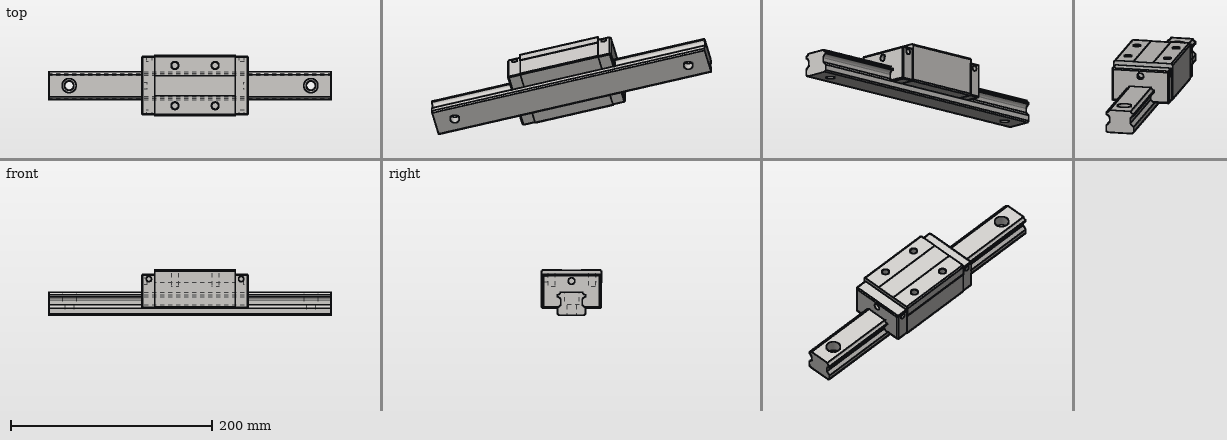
import cadquery as cq
RAIL_LENGTH = 280.0
RAIL_WIDTH = 28.0
RAIL_HEIGHT = 23.0
RAIL_HOLE_PITCH = 240.0
RAIL_BOLT_DIAMETER = 9.0
RAIL_HEAD_DIAMETER = 14.0
RAIL_HEAD_DEPTH = 12.0

RAIL_BOTTOM_CHAMFER = 1.5
RAIL_FOOT_TOP = 7.0
RAIL_WAIST_BOTTOM = 10.5
RAIL_WAIST_TOP = 14.9
RAIL_HEAD_BOTTOM = 18.5
RAIL_HEAD_SHOULDER = 20.3
RAIL_WAIST_HALF = 10.5
RAIL_TOP_HALF = 11.0
GROOVE_SAG = 0.7

TOTAL_HEIGHT = 45.0
CARRIAGE_X = 5.0
BLOCK_LENGTH = 80.0
BLOCK_WIDTH = 60.0
BLOCK_BOTTOM = 7.0
BLOCK_CHAMFER = 1.5
SIDE_RELIEF = 0.5
SIDE_RELIEF_TOP = 33.0
CAP_LENGTH = 13.0
CAP_WIDTH = 58.0
CAP_TOP = 40.5
CAP_BOTTOM = 7.2
CAP_CHAMFER = 1.3
CAP_EDGE_CHAMFER = 0.9

MOUNT_HOLE_DIAMETER = 6.8
MOUNT_HOLE_DEPTH = 16.0
MOUNT_SINK_DIAMETER = 7.5
SINK_ANGLE = 90.0
MOUNT_PITCH = 40.0
PAD_GAP = 20.0
PAD_RELIEF = 0.2
GREASE_HOLE_DIAMETER = 5.2
GREASE_HOLE_DEPTH = 5.0
END_HOLE_DIAMETER = 6.5
END_HOLE_HEIGHT = 34.0
SIDE_HOLE_HEIGHT = 36.0
SIDE_HOLE_OFFSET = 5.8


def rail_half():
    """Rail profile on the +Y side of its middle plane, extruded along X."""
    half_width = RAIL_WIDTH / 2
    profile = (
        cq.Workplane("YZ")
        .lineTo(half_width - RAIL_BOTTOM_CHAMFER, 0)
        .lineTo(half_width, RAIL_BOTTOM_CHAMFER)
        .lineTo(half_width, RAIL_FOOT_TOP)
        .lineTo(RAIL_WAIST_HALF, RAIL_WAIST_BOTTOM)
        .lineTo(RAIL_WAIST_HALF, RAIL_WAIST_TOP)
        .sagittaArc((half_width, RAIL_HEAD_BOTTOM), GROOVE_SAG)
        .lineTo(half_width, RAIL_HEAD_SHOULDER)
        .sagittaArc((RAIL_TOP_HALF, RAIL_HEIGHT), GROOVE_SAG)
        .lineTo(0, RAIL_HEIGHT)
        .close()
    )
    return profile.extrude(RAIL_LENGTH / 2, both=True)


def rail_bar():
    """Whole rail without its bolt holes, centred on the origin in X and Y."""
    half = rail_half()
    return half.union(half.mirror("XZ")).clean()


def build_rail():
    """Rail with a counterbored bolt hole near each end."""
    return (
        rail_bar()
        .faces(">Z")
        .workplane(origin=(0, 0, RAIL_HEIGHT))
        .rarray(RAIL_HOLE_PITCH, 1, 2, 1)
        .cboreHole(RAIL_BOLT_DIAMETER, RAIL_HEAD_DIAMETER, RAIL_HEAD_DEPTH)
    )


def steel_block():
    """Middle of the carriage, with its long edges chamfered and mounting holes on top."""
    block = (
        cq.Workplane("XY", origin=(0, 0, BLOCK_BOTTOM))
        .box(BLOCK_LENGTH, BLOCK_WIDTH, TOTAL_HEIGHT - BLOCK_BOTTOM, centered=(True, True, False))
        .edges("|X")
        .chamfer(BLOCK_CHAMFER)
    )
    side_relief = cq.Workplane("XY", origin=(0, BLOCK_WIDTH / 2, BLOCK_BOTTOM)).box(
        BLOCK_LENGTH, 2 * SIDE_RELIEF, SIDE_RELIEF_TOP - BLOCK_BOTTOM, centered=(True, True, False)
    )
    relief = cq.Workplane("XY", origin=(0, 0, TOTAL_HEIGHT)).box(BLOCK_LENGTH, PAD_GAP, 2 * PAD_RELIEF)
    return (
        block.cut(side_relief)
        .cut(relief)
        .faces(">Z")
        .workplane(origin=(0, 0, TOTAL_HEIGHT))
        .rarray(MOUNT_PITCH, MOUNT_PITCH, 2, 2)
        .cskHole(MOUNT_HOLE_DIAMETER, MOUNT_SINK_DIAMETER, SINK_ANGLE, MOUNT_HOLE_DEPTH)
    )


def end_cap(side):
    """End cap on the -X (side = -1) or +X (side = 1) end of the block, with its grease holes."""
    inner_x = BLOCK_LENGTH / 2
    outer_x = inner_x + CAP_LENGTH
    outer_face = ">X" if side > 0 else "<X"
    cap = (
        cq.Workplane("XY", origin=(side * (inner_x + outer_x) / 2, 0, CAP_BOTTOM))
        .box(CAP_LENGTH, CAP_WIDTH, CAP_TOP - CAP_BOTTOM, centered=(True, True, False))
        .edges("|X")
        .chamfer(CAP_EDGE_CHAMFER)
        .faces(outer_face)
        .chamfer(CAP_CHAMFER)
    )
    end_hole = cq.Workplane(
        cq.Plane((side * outer_x, 0, END_HOLE_HEIGHT), xDir=(0, 1, 0), normal=(-side, 0, 0))
    ).circle(END_HOLE_DIAMETER / 2).extrude(GREASE_HOLE_DEPTH)
    cap = cap.cut(end_hole)
    for face in (-1, 1):
        side_hole = cq.Workplane(
            cq.Plane(
                (side * (inner_x + SIDE_HOLE_OFFSET), face * CAP_WIDTH / 2, SIDE_HOLE_HEIGHT),
                xDir=(1, 0, 0),
                normal=(0, -face, 0),
            )
        ).circle(GREASE_HOLE_DIAMETER / 2).extrude(GREASE_HOLE_DEPTH)
        cap = cap.cut(side_hole)
    return cap


def build_carriage():
    """Block and end caps as one solid, with a channel that fits the rail."""
    carriage = steel_block()
    for side in (-1, 1):
        carriage = carriage.union(end_cap(side))
    return carriage.translate((CARRIAGE_X, 0, 0)).cut(rail_bar())


rail = build_rail()
carriage = build_carriage()

result = cq.Compound.makeCompound([rail.val(), carriage.val()])